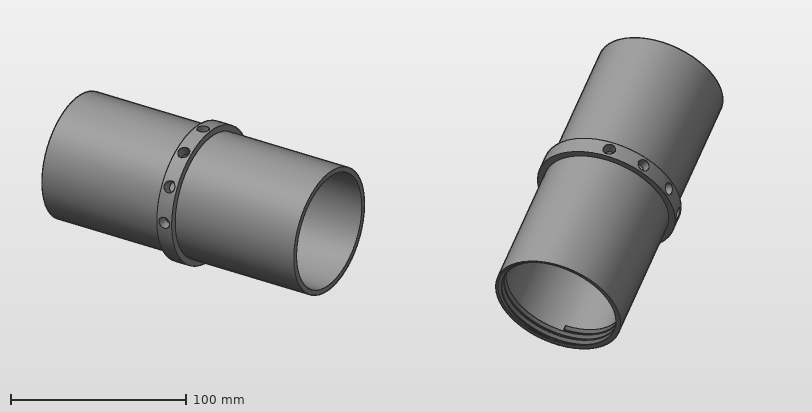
import cadquery as cq

length = 170.0
tube_radius = 38.0
bore_radius = 35.0
collar_radius = 41.9
collar_width = 10.0

hole_diameter = 7.0
hole_angles = (0, 30, 60, 90)

thread_pitch = 4.0
thread_turns = 3
thread_depth = 2.0
thread_mouth_width = 3.2
thread_root_width = 0.5
thread_lead_in = 1.5
thread_overlap = 0.2


def x_cylinder(radius, width):
    """Cylinder along X, centred on the origin."""
    return cq.Workplane("YZ").circle(radius).extrude(width / 2, both=True)


def radial_hole(angle):
    """Cutter running outward from the axis, tilted up from -Y by angle degrees."""
    cutter = cq.Workplane("XZ").circle(hole_diameter / 2).extrude(collar_radius + 1.7)
    return cutter.rotate((0, 0, 0), (1, 0, 0), -angle)


def thread_cutter():
    """Trapezoidal helical ridge that starts and ends at the bottom of the bore."""
    flank_slope = (thread_mouth_width - thread_root_width) / 2 / thread_depth
    inner_half = thread_mouth_width / 2 + flank_slope * thread_overlap
    root_half = thread_root_width / 2
    inner_radius = bore_radius - thread_overlap
    root_radius = bore_radius + thread_depth
    helix = cq.Wire.makeHelix(thread_pitch, thread_turns * thread_pitch, bore_radius)
    profile = cq.Workplane("XZ").polyline([
        (inner_radius, -inner_half),
        (root_radius, -root_half),
        (root_radius, root_half),
        (inner_radius, inner_half),
    ]).close()
    ridge = profile.sweep(cq.Workplane(obj=helix), isFrenet=True)
    ridge = ridge.rotate((0, 0, 0), (0, 1, 0), 90)
    return ridge.translate((-length / 2 - thread_lead_in, 0, 0))


body = x_cylinder(tube_radius, length).union(x_cylinder(collar_radius, collar_width))
body = body.cut(x_cylinder(bore_radius, length))

for hole_angle in hole_angles:
    body = body.cut(radial_hole(hole_angle))

result = body.cut(thread_cutter())